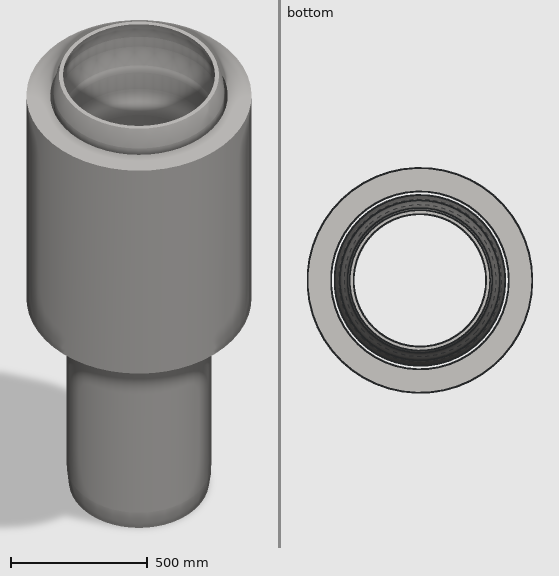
import cadquery as cq
import math

total_length = 2000.0

sleeve_outer_radius = 825.0 / 2
sleeve_bore_radius = 650.0 / 2
sleeve_bottom = 900.0
sleeve_top = 1900.0

wall = 15.0
bore_radius = 500.0 / 2
spigot_tip_length = 82.0
spigot_tip_inset = 8.0

chamber_radius = 595.0 / 2
lip_radius = 555.0 / 2
neck_radius = 285.0
seat_radius = lip_radius
lip_height = 80.0
neck_curve_height = 80.0
chamber_height = 48.0
lead_in_height = 30.0
seat_height = 80.0
reducer_height = 105.0

chamber_top = total_length - lip_height
chamber_bottom = chamber_top - chamber_height
lead_in_top = chamber_bottom - neck_curve_height
seat_top = lead_in_top - lead_in_height
seat_bottom = seat_top - seat_height
reducer_middle = seat_bottom - reducer_height / 2
bore_top = seat_bottom - reducer_height


def tangent_arc_middle(cylinder_radius, cylinder_z, end_radius, end_z):
    """Point halfway along the arc that leaves a vertical wall tangentially."""
    inset = cylinder_radius - end_radius
    height = end_z - cylinder_z
    arc_radius = (inset**2 + height**2) / (2 * abs(inset))
    half_angle = math.asin(abs(height) / arc_radius) / 2
    middle_radius = cylinder_radius - math.copysign(arc_radius * (1 - math.cos(half_angle)), inset)
    middle_z = cylinder_z + math.copysign(arc_radius * math.sin(half_angle), height)
    return middle_radius, middle_z


def solid_of_pipe_shape(offset):
    """Revolve the bore outline, moved outwards by a radial offset, down to the axis."""
    bore = bore_radius + offset
    tip = bore - spigot_tip_inset
    seat = seat_radius + offset
    reducer = (bore + seat) / 2
    lip = lip_radius + offset
    neck = neck_radius + offset
    chamber = chamber_radius + offset
    return (
        cq.Workplane("XZ")
        .lineTo(tip, 0)
        .threePointArc(tangent_arc_middle(bore, spigot_tip_length, tip, 0), (bore, spigot_tip_length))
        .lineTo(bore, bore_top)
        .threePointArc(
            tangent_arc_middle(bore, bore_top, reducer, reducer_middle), (reducer, reducer_middle)
        )
        .threePointArc(
            tangent_arc_middle(seat, seat_bottom, reducer, reducer_middle), (seat, seat_bottom)
        )
        .lineTo(seat, seat_top)
        .threePointArc(tangent_arc_middle(seat, seat_top, neck, lead_in_top), (neck, lead_in_top))
        .threePointArc(
            tangent_arc_middle(chamber, chamber_bottom, neck, lead_in_top), (chamber, chamber_bottom)
        )
        .lineTo(chamber, chamber_top)
        .threePointArc(
            tangent_arc_middle(chamber, chamber_top, lip, total_length), (lip, total_length)
        )
        .lineTo(0, total_length)
        .close()
        .revolve(360, (0, 0, 0), (0, 1, 0))
    )


def make_pipe():
    """Pipe with a curled spigot tip and a socket holding a seal chamber."""
    return solid_of_pipe_shape(wall).cut(solid_of_pipe_shape(0))


def make_sleeve():
    """Plain tube standing clear of the socket all round."""
    return (
        cq.Workplane("XY", origin=(0, 0, sleeve_bottom))
        .circle(sleeve_outer_radius)
        .circle(sleeve_bore_radius)
        .extrude(sleeve_top - sleeve_bottom)
    )


pipe = make_pipe()
sleeve = make_sleeve()

result = cq.Compound.makeCompound([pipe.val(), sleeve.val()])